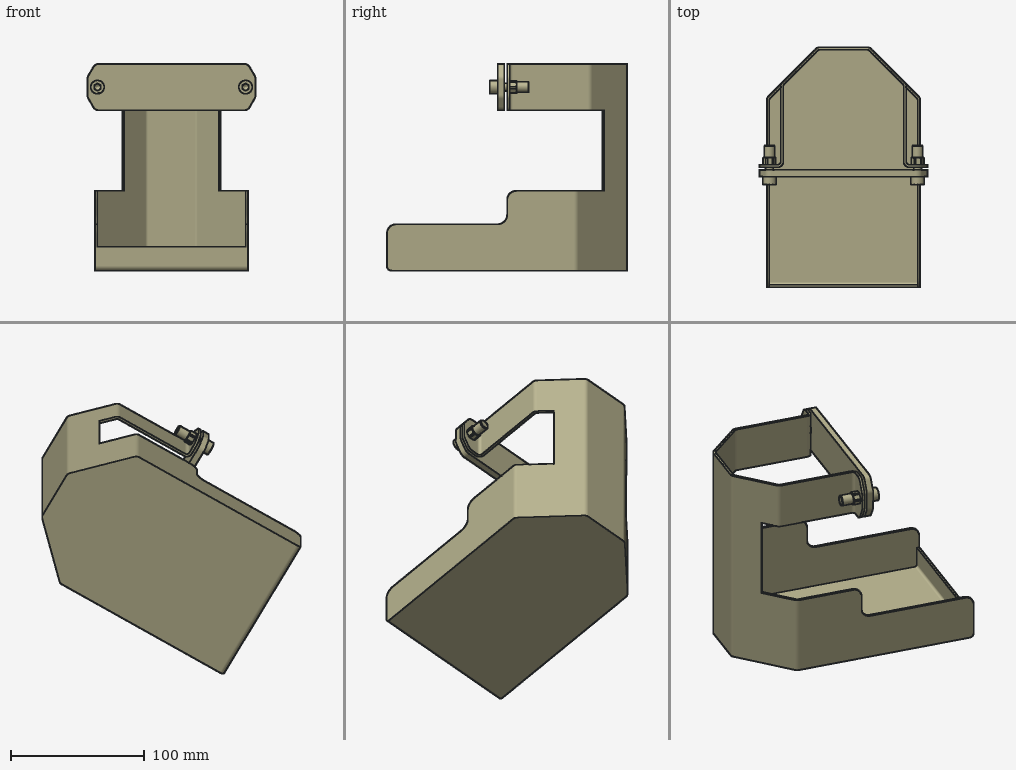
import cadquery as cq
import math

LENGTH = 180.0
HEIGHT = 155.0
PLATE_WIDTH = 126.0

SHEET = 2.0
INNER_BEND = 2.3
OUTER_BEND = INNER_BEND + SHEET

BACK_HALF_WIDTH = 19.5
TRAY_HALF_WIDTH = 57.5
STRAP_HALF_WIDTH = 47.0
WINDOW_HALF_WIDTH = 36.7

TRAY_TOP = 60.0
STRAP_HEIGHT = 35.0
STRAP_BOTTOM = HEIGHT - STRAP_HEIGHT
STRAP_MIDDLE = HEIGHT - STRAP_HEIGHT / 2
SIDE_FRONT_TOP = 35.0
SIDE_STEP_Y = 90.0
SIDE_CORNER_RADIUS = 7.0
LIP_TOP = 18.0
LIP_INNER_BEND = 2.0
LIP_OUTER_BEND = 3.6

FLANGE_FRONT = 90.0
FLANGE_BACK = FLANGE_FRONT + SHEET
CLAMP_GAP = 2.0
PLATE_THICKNESS = 5.0
PLATE_BACK = FLANGE_FRONT - CLAMP_GAP
PLATE_FRONT = PLATE_BACK - PLATE_THICKNESS
CORNER_HEIGHT = 10.0
CORNER_ANGLE = 30.0
CORNER_RADIUS = 5.0

SCREW_X = 55.5
SHANK_DIAMETER = 6.0
CLEARANCE_DIAMETER = 6.5
HEAD_DIAMETER = 10.0
HEAD_LENGTH = 6.0
HEAD_ROUND = 0.5
SOCKET_FLATS = 4.9
SOCKET_TURN = 30.0
SOCKET_DEPTH = 3.0
SOCKET_TIP_DEPTH = 1.5
NUT_FLATS = 9.0
NUT_DIAMETER = 9.7
NUT_LENGTH = 5.4
NUT_TURN = 5.0
NUT_CHAMFER = 0.5
SLEEVE_DIAMETER = 8.0
SLEEVE_LENGTH = 9.0
SLEEVE_CHAMFER = 0.5


def offset_corners(points, distance):
    """Move an open path sideways to its right, keeping mitred corners."""
    normals = []
    for (x0, y0), (x1, y1) in zip(points, points[1:]):
        run = math.hypot(x1 - x0, y1 - y0)
        normals.append(((y1 - y0) / run, (x0 - x1) / run))
    before = normals[:1] + normals
    after = normals + normals[-1:]
    moved = []
    for (x, y), (ax, ay), (bx, by) in zip(points, before, after):
        reach = distance / (1 + ax * bx + ay * by)
        moved.append((x + reach * (ax + bx), y + reach * (ay + by)))
    return moved


def bent_sheet(right_half, bottom, top):
    """Upright sheet, symmetric about x = 0, whose outer face follows the given right-hand path."""
    left_half = [(-x, y) for x, y in reversed(right_half)]
    outer = left_half + right_half
    inner = offset_corners(outer, SHEET)
    sheet = cq.Workplane("XY").workplane(offset=bottom)
    sheet = sheet.polyline(outer + inner[::-1]).close().extrude(top - bottom)
    middle = (bottom + top) / 2
    for i in range(1, len(outer) - 1):
        (x0, y0), (x1, y1), (x2, y2) = outer[i - 1:i + 2]
        turns_right = (x1 - x0) * (y2 - y1) - (y1 - y0) * (x2 - x1) < 0
        radii = (OUTER_BEND, INNER_BEND) if turns_right else (INNER_BEND, OUTER_BEND)
        for (x, y), radius in zip((outer[i], inner[i]), radii):
            sheet = sheet.edges(cq.selectors.NearestToPointSelector((x, y, middle))).fillet(radius)
    return sheet


def wing_point(x):
    """Point of the wing's outer face at the given distance from the symmetry plane."""
    return (x, LENGTH - (x - BACK_HALF_WIDTH))


def side_profile():
    """Solid block, wider than the tray, with the stepped outline of the side walls."""
    outline = [
        (0, 0),
        (LENGTH, 0),
        (LENGTH, TRAY_TOP),
        (SIDE_STEP_Y, TRAY_TOP),
        (SIDE_STEP_Y, SIDE_FRONT_TOP),
        (0, SIDE_FRONT_TOP),
    ]
    block = cq.Workplane("YZ").polyline(outline).close().extrude(PLATE_WIDTH / 2, both=True)
    for y, z in outline[3:]:
        edge = cq.selectors.NearestToPointSelector((0, y, z))
        block = block.edges(edge).fillet(SIDE_CORNER_RADIUS)
    return block


def tray():
    """Floor, stepped side walls and low front lip with a rounded lower edge."""
    back_corner = (BACK_HALF_WIDTH, LENGTH)
    side_corner = wing_point(TRAY_HALF_WIDTH)
    front_corner = (TRAY_HALF_WIDTH, 0)
    right_half = [back_corner, side_corner, front_corner]
    walls = bent_sheet(right_half, 0, TRAY_TOP).intersect(side_profile())

    footprint = right_half + [(-x, y) for x, y in reversed(right_half)]
    envelope = cq.Workplane("XY").polyline(footprint).close().extrude(TRAY_TOP)
    for x, y in (back_corner, side_corner):
        for side in (-1, 1):
            edge = cq.selectors.NearestToPointSelector((side * x, y, TRAY_TOP / 2))
            envelope = envelope.edges(edge).fillet(OUTER_BEND)

    section = cq.Workplane("YZ").polyline([
        (0, 0),
        (LENGTH, 0),
        (LENGTH, SHEET),
        (SHEET, SHEET),
        (SHEET, LIP_TOP),
        (0, LIP_TOP),
    ]).close().extrude(PLATE_WIDTH / 2, both=True)
    inner_edge = cq.selectors.NearestToPointSelector((0, SHEET, SHEET))
    floor_and_lip = section.edges(inner_edge).fillet(LIP_INNER_BEND).intersect(envelope)

    body = walls.union(floor_and_lip)
    return body.edges("|X and <Y and <Z").fillet(LIP_OUTER_BEND)


def back_web():
    """Narrow full-height back between the tray and the strap."""
    right_half = [(BACK_HALF_WIDTH, LENGTH), wing_point(WINDOW_HALF_WIDTH)]
    return bent_sheet(right_half, 0, HEIGHT)


def clamp_outline(y_back, thickness):
    """Plate of the clamping width with sloped, rounded corners, extruded towards the front."""
    plate = cq.Workplane("XZ", origin=(0, y_back, STRAP_MIDDLE)).rect(PLATE_WIDTH, STRAP_HEIGHT)
    plate = plate.extrude(thickness)
    corner_width = CORNER_HEIGHT * math.tan(math.radians(CORNER_ANGLE))
    half_width = PLATE_WIDTH / 2
    half_height = STRAP_HEIGHT / 2
    for sx in (-1, 1):
        for sz in (-1, 1):
            corner = cq.Workplane("XZ", origin=(0, y_back, STRAP_MIDDLE)).polyline([
                (sx * half_width, sz * half_height),
                (sx * (half_width - corner_width), sz * half_height),
                (sx * half_width, sz * (half_height - CORNER_HEIGHT)),
            ]).close().extrude(thickness)
            plate = plate.cut(corner)
    return plate.edges("|Y").fillet(CORNER_RADIUS)


def strap():
    """Upper band with outward flanges that carry the screws."""
    right_half = [
        (BACK_HALF_WIDTH, LENGTH),
        wing_point(STRAP_HALF_WIDTH),
        (STRAP_HALF_WIDTH, FLANGE_BACK),
        (PLATE_WIDTH / 2, FLANGE_BACK),
    ]
    band = bent_sheet(right_half, STRAP_BOTTOM, HEIGHT)
    envelope = clamp_outline(LENGTH, LENGTH)
    return band.intersect(envelope)


def along_y(x, y):
    """Workplane at a screw axis whose extrusions run towards the back."""
    return cq.Workplane("XZ", origin=(x, y, STRAP_MIDDLE)).transformed(rotate=(180, 0, 0))


def clearance_hole(x):
    """Cutter for the screw hole through the clamping plate and the flange."""
    hole = along_y(x, PLATE_FRONT).circle(CLEARANCE_DIAMETER / 2)
    return hole.extrude(FLANGE_BACK - PLATE_FRONT)


def hexagon_corners(flats):
    """Distance across the corners of a hexagon, from the distance across its flats."""
    return flats / math.cos(math.pi / 6)


def screw(x):
    """Socket-head screw with its round-cornered hexagon nut and rear sleeve."""
    head_front = PLATE_FRONT - HEAD_LENGTH
    nut_back = FLANGE_BACK + NUT_LENGTH
    head = along_y(x, head_front).circle(HEAD_DIAMETER / 2).extrude(HEAD_LENGTH)
    head = head.faces("<Y").edges().fillet(HEAD_ROUND)
    socket = along_y(x, head_front).transformed(rotate=(0, 0, SOCKET_TURN))
    socket = socket.polygon(6, hexagon_corners(SOCKET_FLATS)).extrude(SOCKET_DEPTH)
    tip = cq.Solid.makeCone(
        SOCKET_FLATS / 2,
        0,
        SOCKET_TIP_DEPTH,
        pnt=cq.Vector(x, head_front + SOCKET_DEPTH, STRAP_MIDDLE),
        dir=cq.Vector(0, 1, 0),
    )
    shank = along_y(x, PLATE_FRONT).circle(SHANK_DIAMETER / 2).extrude(nut_back - PLATE_FRONT)
    hexagon = along_y(x, FLANGE_BACK).transformed(rotate=(0, 0, NUT_TURN))
    hexagon = hexagon.polygon(6, hexagon_corners(NUT_FLATS)).extrude(NUT_LENGTH)
    nut = along_y(x, FLANGE_BACK).circle(NUT_DIAMETER / 2).extrude(NUT_LENGTH)
    nut = nut.faces(">Y").edges().chamfer(NUT_CHAMFER).intersect(hexagon)
    sleeve = along_y(x, nut_back).circle(SLEEVE_DIAMETER / 2).extrude(SLEEVE_LENGTH)
    sleeve = sleeve.faces(">Y").edges().chamfer(SLEEVE_CHAMFER)
    return head.union(shank).union(nut).union(sleeve).cut(socket).cut(tip)


result = tray().union(back_web()).union(strap()).union(clamp_outline(PLATE_BACK, PLATE_THICKNESS))
for screw_x in (-SCREW_X, SCREW_X):
    result = result.cut(clearance_hole(screw_x))
    result = result.union(screw(screw_x))